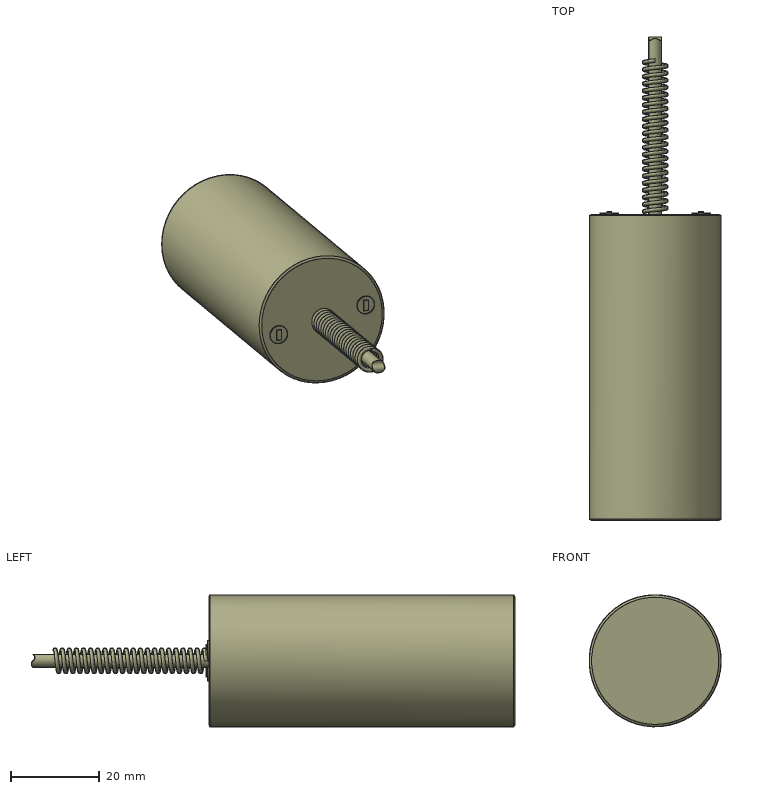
import cadquery as cq

overall_length = 109.9
housing_diameter = 30.0
housing_length = 69.6
end_chamfer_radial = 0.5
front_chamfer_axial = 0.3
rear_chamfer_axial = 0.2
front_y = -overall_length / 2
rear_y = front_y + housing_length

rod_diameter = 3.0
rod_radius = rod_diameter / 2
rod_tip_y = overall_length / 2
break_rim_drop = 0.3
break_middle_drop = 0.3
break_hollow_drop = 0.8

button_diameter = 4.2
button_height = 0.3
rib_width = 1.1
rib_length = 2.4
rib_height = 0.3
button_offset_x = 10.4
button_offset_z = 2.5

spring_outer_diameter = 5.8
wire_diameter = 0.9
coil_radius = (spring_outer_diameter - wire_diameter) / 2
spring_turns = 21.25
spring_rise = 34.3
spring_pitch = spring_rise / spring_turns
seat_gap = 0.2
spring_start_y = rear_y + wire_diameter / 2 + seat_gap


def cylinder_along_y(diameter, length, start_y, x=0, z=0):
    """Solid cylinder running toward +Y from start_y."""
    base = cq.Plane(origin=(x, start_y, z), xDir=(1, 0, 0), normal=(0, 1, 0))
    return cq.Workplane(base).circle(diameter / 2).extrude(length)


def make_shell():
    """Cylinder turned about the Y axis, with a chamfer at both ends."""
    radius = housing_diameter / 2
    end_face_radius = radius - end_chamfer_radial
    return (
        cq.Workplane("XY")
        .moveTo(0, front_y)
        .lineTo(end_face_radius, front_y)
        .lineTo(radius, front_y + front_chamfer_axial)
        .lineTo(radius, rear_y - rear_chamfer_axial)
        .lineTo(end_face_radius, rear_y)
        .lineTo(0, rear_y)
        .close()
        .revolve(360, (0, 0, 0), (0, 1, 0))
    )


def make_rod():
    """Round rod whose end is a hollow arc above a bulging arc, cut along X."""
    rod = cylinder_along_y(rod_diameter, rod_tip_y - rear_y, rear_y)
    side_profile = (
        cq.Workplane("YZ")
        .moveTo(rear_y, -rod_radius)
        .lineTo(rod_tip_y - break_rim_drop, -rod_radius)
        .threePointArc(
            (rod_tip_y, -rod_radius / 2),
            (rod_tip_y - break_middle_drop, 0),
        )
        .threePointArc(
            (rod_tip_y - break_hollow_drop, rod_radius / 2),
            (rod_tip_y - break_rim_drop, rod_radius),
        )
        .lineTo(rear_y, rod_radius)
        .close()
        .extrude(rod_radius, both=True)
    )
    return rod.intersect(side_profile)


def make_button(x, z):
    """Low disc carrying a short rib."""
    button = cylinder_along_y(button_diameter, button_height, rear_y, x, z)
    rib = cq.Workplane("XY").box(rib_width, rib_height, rib_length)
    rib = rib.translate((x, rear_y + button_height + rib_height / 2, z))
    return button.union(rib)


def make_housing():
    """Cylinder, rod and buttons as one solid."""
    housing = make_shell().union(make_rod())
    for side in (-1, 1):
        housing = housing.union(make_button(side * button_offset_x, -side * button_offset_z))
    return housing


def make_spring():
    """Right-handed coil whose free end finishes at the +Z side of the rod."""
    path = cq.Wire.makeHelix(spring_pitch, spring_rise, coil_radius)
    section = cq.Workplane("XZ", origin=(coil_radius, 0, 0)).circle(wire_diameter / 2)
    coil = section.sweep(cq.Workplane(path), isFrenet=True)
    coil = coil.rotate((0, 0, 0), (1, 0, 0), -90)
    coil = coil.rotate((0, 0, 0), (0, 1, 0), 180)
    return coil.translate((0, spring_start_y, 0))


housing = make_housing()
spring = make_spring()
result = cq.Compound.makeCompound([housing.val(), spring.val()])